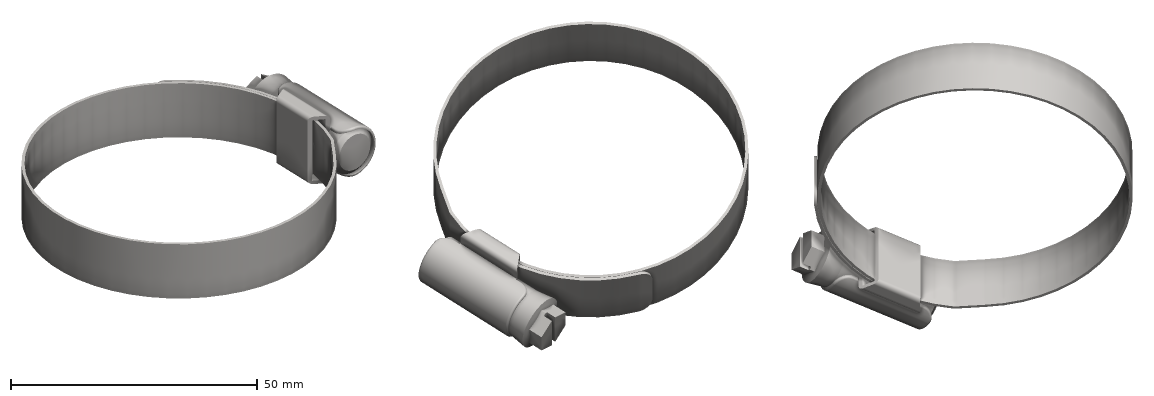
import cadquery as cq
import math

band_width = 12.85
band_thickness = 0.635
ring_radius = 32.02
lap_gap = 0.1
lap_start_angle = 82
joggle_angle = 55.5
joggle_span = 11
joggle_bend_radius = 2.25
tail_end_angle = 150.2
tail_corner_radius = 3.0

tail_radius = ring_radius + lap_gap + band_thickness

screw_axis_y = 36.9
hex_flats = 7.9
hex_tip_x = -19.0
slot_width = 1.1
slot_depth = 2.0
collar_face_x = -16.0
collar_rim_x = -15.5
collar_rim_radius = 5.79
shank_radius = 5.2
shank_chamfer_length = 0.9
shank_chamfer_depth = 1.1

barrel_length = 22.9
barrel_radius = collar_rim_radius
barrel_corner_radius = 3.0
barrel_bottom_y = 34.1
barrel_rim_radius = 0.45
sleeve_height = 16.0
sleeve_bottom_y = 29.9
sleeve_top_y = 33.9
sleeve_wall = 0.8
sleeve_corner_radius = 1.05
sleeve_top_length = 14.5
sleeve_bottom_length = 9.9

barrel_end_x = barrel_length / 2
barrel_top_y = screw_axis_y + barrel_radius
sleeve_depth = sleeve_top_y - sleeve_bottom_y
sleeve_centre_y = (sleeve_top_y + sleeve_bottom_y) / 2


def polar(radius, angle):
    """Point in the XY plane at an angle in degrees from +X."""
    radians = math.radians(angle)
    return radius * math.cos(radians), radius * math.sin(radians)


def add_arc(sketch, radius, start_angle, end_angle):
    """Continue an outline with an arc centred on the Z axis."""
    middle_angle = (start_angle + end_angle) / 2
    return sketch.threePointArc(polar(radius, middle_angle), polar(radius, end_angle))


def x_cylinder(radius, start_x, end_x):
    """Cylinder on the screw axis."""
    return (
        cq.Workplane("YZ", origin=(start_x, screw_axis_y, 0))
        .circle(radius)
        .extrude(end_x - start_x)
    )


def edges_near(point):
    """Select edges, at any height, whose centre is within a band thickness of a point in plan."""
    x, y = point
    return cq.selectors.BoxSelector(
        (x - band_thickness, y - band_thickness, -band_width),
        (x + band_thickness, y + band_thickness, band_width),
    )


def make_screw():
    profile = [
        (collar_face_x, 0),
        (collar_face_x, hex_flats / 2),
        (collar_rim_x, collar_rim_radius),
        (-barrel_end_x, shank_radius),
        (barrel_end_x - shank_chamfer_length, shank_radius),
        (barrel_end_x, shank_radius - shank_chamfer_depth),
        (barrel_end_x, 0),
    ]
    body = (
        cq.Workplane("XY", origin=(0, screw_axis_y, 0))
        .polyline(profile)
        .close()
        .revolve(360, (0, 0, 0), (1, 0, 0))
    )

    hex_diagonal = hex_flats / math.cos(math.radians(30))
    head = (
        cq.Workplane("YZ", origin=(hex_tip_x, screw_axis_y, 0))
        .transformed(rotate=(0, 0, 90))
        .polygon(6, hex_diagonal)
        .extrude(collar_rim_x - hex_tip_x)
    )

    slot = cq.Workplane("XY").box(slot_depth, slot_width, hex_diagonal, centered=(False, True, True))
    slot = slot.translate((hex_tip_x, screw_axis_y, 0))
    return body.union(head).cut(slot)


def make_barrel():
    outline = (
        cq.Workplane("XY")
        .rect(barrel_length, 2 * (barrel_top_y - barrel_bottom_y))
        .extrude(sleeve_height / 2, both=True)
        .edges("|Z and <Y")
        .fillet(barrel_corner_radius)
        .translate((0, barrel_top_y, 0))
    )
    barrel = x_cylinder(barrel_radius, -barrel_end_x, barrel_end_x).intersect(outline)
    barrel = barrel.faces("%CYLINDER").edges("<X or >X").fillet(barrel_rim_radius)

    middle = cq.Workplane("XY").box(sleeve_top_length, 2 * barrel_top_y, sleeve_height)
    return barrel.cut(middle)


def make_sleeve():
    sleeve_block = (
        cq.Workplane("XY")
        .box(sleeve_top_length, sleeve_depth, sleeve_height)
        .edges("|X")
        .fillet(sleeve_corner_radius)
        .translate((0, sleeve_centre_y, 0))
    )
    barrel_core = x_cylinder(barrel_radius, -sleeve_top_length / 2, sleeve_top_length / 2)

    taper = (
        cq.Workplane("XY")
        .moveTo(-sleeve_top_length / 2, barrel_top_y)
        .lineTo(-sleeve_top_length / 2, sleeve_top_y)
        .lineTo(-sleeve_bottom_length / 2, sleeve_bottom_y)
        .lineTo(sleeve_bottom_length / 2, sleeve_bottom_y)
        .lineTo(sleeve_top_length / 2, sleeve_top_y)
        .lineTo(sleeve_top_length / 2, barrel_top_y)
        .close()
        .extrude(sleeve_height / 2, both=True)
    )
    return sleeve_block.union(barrel_core).intersect(taper)


def make_housing():
    passage_height = sleeve_height - 2 * sleeve_wall
    passage = (
        cq.Workplane("XY")
        .box(barrel_length, sleeve_depth - 2 * sleeve_wall, passage_height)
        .translate((0, sleeve_centre_y, 0))
    )

    bore_floor_y = sleeve_top_y - sleeve_wall
    above_passage = (
        cq.Workplane("XY")
        .box(barrel_length, barrel_top_y - bore_floor_y, passage_height)
        .translate((0, (barrel_top_y + bore_floor_y) / 2, 0))
    )
    bore = x_cylinder(shank_radius, -barrel_end_x, barrel_end_x).intersect(above_passage)
    return make_barrel().union(make_sleeve()).cut(passage).cut(bore)


def make_band():
    step_start = joggle_angle + 360
    step_end = step_start + joggle_span
    tail_end = tail_end_angle + 360
    outline = cq.Workplane("XY").moveTo(*polar(ring_radius - band_thickness, lap_start_angle))
    outline = add_arc(outline, ring_radius - band_thickness, lap_start_angle, step_start)
    outline = outline.lineTo(*polar(tail_radius - band_thickness, step_end))
    outline = add_arc(outline, tail_radius - band_thickness, step_end, tail_end)
    outline = outline.lineTo(*polar(tail_radius, tail_end))
    outline = add_arc(outline, tail_radius, tail_end, step_end)
    outline = outline.lineTo(*polar(ring_radius, step_start))
    outline = add_arc(outline, ring_radius, step_start, lap_start_angle)
    band = outline.close().extrude(band_width / 2, both=True)

    bend_middle = polar(tail_radius - band_thickness / 2, step_end)
    band = band.edges("|Z").edges(edges_near(bend_middle)).fillet(joggle_bend_radius)

    tail_tip = polar(tail_radius - band_thickness / 2, tail_end)
    radial_edges = cq.selectors.ParallelDirSelector(cq.Vector(*polar(1, tail_end), 0))
    band = band.edges(radial_edges).edges(edges_near(tail_tip)).fillet(tail_corner_radius)

    return band.cut(x_cylinder(shank_radius, -barrel_end_x, barrel_end_x))


band = make_band()
housing = make_housing()
screw = make_screw()

result = cq.Compound.makeCompound([band.solids().val(), housing.solids().val(), screw.solids().val()])